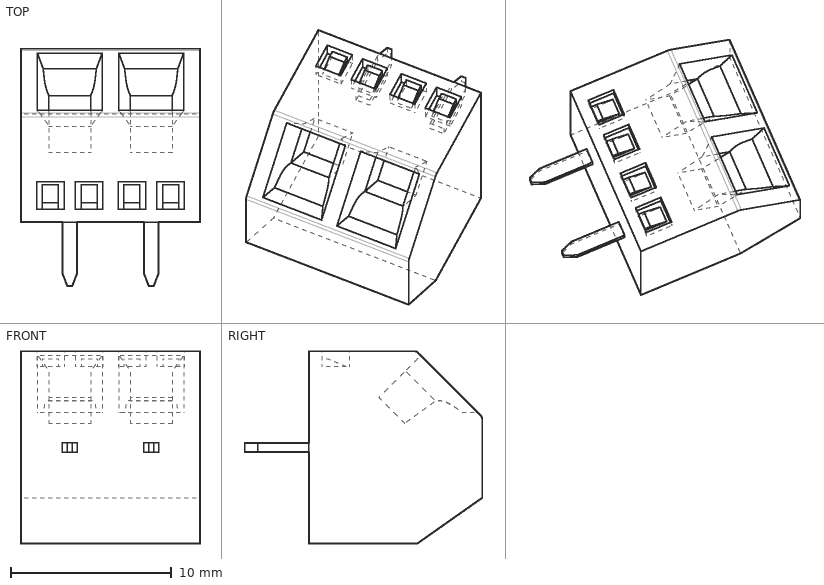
import cadquery as cq
import math


body_width = 11.16
body_height = 12.0
total_length = 14.8
pin_length = 4.0
upper_slope = 4.1
lower_slope_run = 4.05
lower_slope_rise = 2.85
slope_edge_radius = 0.34

pole_pitch = 5.08
pole_positions = [-pole_pitch / 2, pole_pitch / 2]

pin_width = 0.93
pin_thickness = 0.58
pin_tip_width = 0.31
pin_tip_length = 0.8

entry_width = 4.03
entry_start = 0.41
entry_end = 5.43
funnel_depth = 1.36
hole_width = 2.6
hole_depth = 3.7
hole_drift = 9.0
ledge_size = 0.68
lip_end = (2.78, funnel_depth)
lip_start_slope = 12.0
lip_end_slope = 58.0

window_size = 1.7
window_depth = 0.95
window_edge_gap = 0.8
window_spacing = 2.41
contact_width = 1.0
contact_length = 1.51
contact_flat = 0.41
contact_rise = 0.46


def make_housing():
    """Side profile of the housing, extruded across its width."""
    outline = [
        (pin_length, 0),
        (total_length - lower_slope_run, 0),
        (total_length, lower_slope_rise),
        (total_length, body_height - upper_slope),
        (total_length - upper_slope, body_height),
        (pin_length, body_height),
    ]
    housing = cq.Workplane("YZ").polyline(outline).close().extrude(body_width / 2, both=True)
    slope_face = housing.faces(cq.selectors.DirectionMinMaxSelector(cq.Vector(0, 1, 1)))
    return slope_face.edges("|X").fillet(slope_edge_radius)


def make_pin(x):
    """Flat pin with a tapered tip, its tip at Y = 0."""
    outline = [
        (-pin_width / 2, pin_length),
        (-pin_width / 2, pin_tip_length),
        (-pin_tip_width / 2, 0),
        (pin_tip_width / 2, 0),
        (pin_width / 2, pin_tip_length),
        (pin_width / 2, pin_length),
    ]
    pin = cq.Workplane("XY").polyline(outline).close().extrude(pin_thickness / 2, both=True)
    return pin.translate((x, 0, body_height / 2))


def direction(angle):
    """Unit vector at an angle in degrees from the first axis."""
    return (math.cos(math.radians(angle)), math.sin(math.radians(angle)))


def make_wire_entry(x):
    """Cutter for one wire entry: a funnel in the slope that leads into a straight hole."""
    slope_origin = (x, total_length, body_height - upper_slope)
    side_origin = (x - entry_width / 2, total_length, body_height - upper_slope)
    side = cq.Workplane(cq.Plane(side_origin, xDir=(0, -1, 1), normal=(1, 0, 0)))
    plan = cq.Workplane(cq.Plane(slope_origin, xDir=(-1, 0, 0), normal=(0, -1, 1)))

    ledge_end = (entry_start + ledge_size, ledge_size)
    hole_end = lip_end[0] + (hole_depth - funnel_depth) * math.tan(math.radians(hole_drift))
    lip_directions = [direction(lip_start_slope), direction(lip_end_slope)]
    side_profile = (
        side.moveTo(entry_start, 0)
        .lineTo(*ledge_end)
        .spline([lip_end], tangents=lip_directions, includeCurrent=True)
        .lineTo(hole_end, hole_depth)
        .lineTo(entry_end, hole_depth)
        .lineTo(entry_end, 0)
        .close()
        .extrude(entry_width)
    )
    plan_outline = [
        (-entry_width / 2, 0),
        (-hole_width / 2, funnel_depth),
        (-hole_width / 2, hole_depth),
        (hole_width / 2, hole_depth),
        (hole_width / 2, funnel_depth),
        (entry_width / 2, 0),
    ]
    plan_profile = plan.polyline(plan_outline).close().extrude(entry_end)
    return side_profile.intersect(plan_profile)


def make_window(x):
    """Cutter for one square test window, leaving the ramped contact standing on its floor."""
    near_y = pin_length + window_edge_gap
    floor_z = body_height - window_depth
    window = cq.Workplane("XY").box(window_size, window_size, window_depth, centered=(True, False, False))
    window = window.translate((x, near_y, floor_z))
    ramp_outline = [
        (near_y, floor_z),
        (near_y + contact_length, floor_z),
        (near_y + contact_flat, floor_z + contact_rise),
        (near_y, floor_z + contact_rise),
    ]
    contact = cq.Workplane("YZ").polyline(ramp_outline).close().extrude(contact_width / 2, both=True)
    return window.cut(contact.translate((x, 0, 0)))


result = make_housing()
for pole_x in pole_positions:
    result = result.union(make_pin(pole_x))
    result = result.cut(make_wire_entry(pole_x))
    for window_offset in (-window_spacing / 2, window_spacing / 2):
        result = result.cut(make_window(pole_x + window_offset))